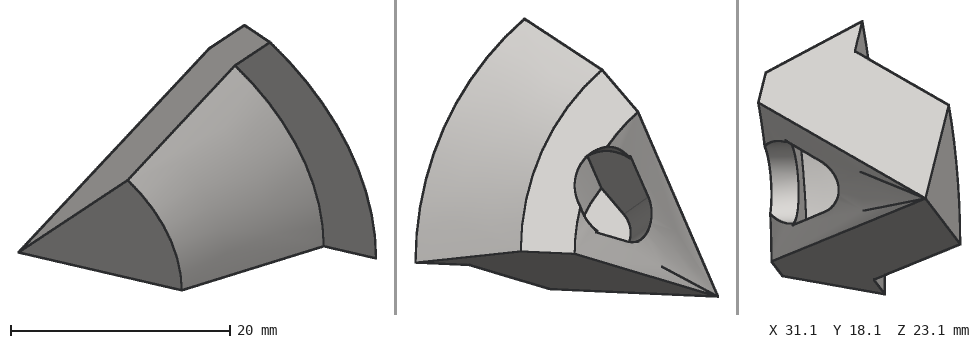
import math

import cadquery as cq

sector_angle = 48.0
rim_radius = 31.05
depth = 18.06
rim_y = 10.14
wall = 2.54
tip_fillet = wall
hole_centre_radius = 15.6

half_angle = math.radians(sector_angle / 2)
wall_along_radius = wall * math.sqrt(2)
rim_overhang = 2 * wall
neck_radius = rim_radius - rim_overhang
front_radius = neck_radius - rim_y
back_outer_radius = rim_radius - (depth - rim_y)

inset_apex_radius = wall / math.sin(half_angle)
hole_radius = (hole_centre_radius - inset_apex_radius) * math.sin(half_angle)


def revolve_sector(points):
    """Revolve an (X, Y) profile about the Y axis from the XY plane up towards +Z."""
    profile = cq.Workplane("XY").polyline(points).close()
    return profile.revolve(sector_angle, (0, 0), (0, -1))


def make_body():
    return revolve_sector([
        (0, 0),
        (front_radius, 0),
        (neck_radius, rim_y),
        (rim_radius, rim_y),
        (back_outer_radius, depth),
        (depth, depth),
    ])


def middle_plane_sketch():
    """Workplane facing -Y whose local X runs outward along the middle of the sector."""
    outward = (math.cos(half_angle), 0, math.sin(half_angle))
    return cq.Workplane(cq.Plane(origin=(0, 0, 0), xDir=outward, normal=(0, -1, 0)))


def make_cavity_section():
    """Cavity bounded by walls inset from the front, front cone, rim cone and back."""
    front_y = wall
    back_y = depth - wall
    corner_y = rim_y + rim_overhang / 2
    corner_radius = neck_radius + rim_overhang / 2 - wall_along_radius
    return revolve_sector([
        (0, front_y),
        (corner_radius - (corner_y - front_y), front_y),
        (corner_radius, corner_y),
        (corner_radius - (back_y - corner_y), back_y),
        (0, back_y),
    ])


def make_cavity_outline():
    """Wedge between the inset side walls, with a rounded tip, running along Y."""
    half_width = (rim_radius - inset_apex_radius) * math.tan(half_angle)
    wedge = (
        middle_plane_sketch()
        .polyline([
            (inset_apex_radius, 0),
            (rim_radius, -half_width),
            (rim_radius, half_width),
        ])
        .close()
        .extrude(-depth)
    )
    tip_edge = cq.selectors.NearestToPointSelector((0, depth / 2, 0))
    return wedge.edges("|Y").edges(tip_edge).fillet(tip_fillet)


def make_back_hole():
    return (
        middle_plane_sketch()
        .workplane(offset=-(depth - wall))
        .center(hole_centre_radius, 0)
        .circle(hole_radius)
        .extrude(-wall)
    )


cavity = make_cavity_section().intersect(make_cavity_outline())
result = make_body().cut(cavity).cut(make_back_hole())